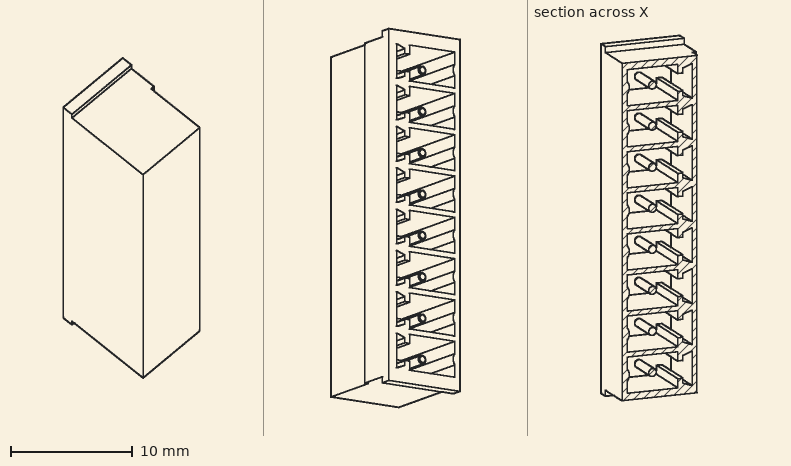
import cadquery as cq

depth = 9.2
width = 7.0
height = 29.8

flange_thickness = 1.0
flange_overhang = 0.5
step_depth = 3.6
step_height = 0.33

pocket_count = 8
pocket_row_span = 24.5
pocket_pitch = pocket_row_span / (pocket_count - 1)
rear_wall = 1.22
pocket_depth = depth - rear_wall

dovetail_outer_offset = 0.77
dovetail_inner_offset = 1.58
chamber_start_offset = 2.05
chamber_end_offset = 6.5
dovetail_outer_half = 1.45
dovetail_inner_half = 1.15
neck_half = 0.75
chamber_half = 1.52
key_half = 0.48
key_height = 0.18

pin_offset = 4.3
pin_diameter = 0.72
pin_recess = 1.5
pin_tip_chamfer = 0.1
pin_embed = rear_wall / 2

front_x = -depth / 2
side_y = width / 2


def make_housing():
    flange = cq.Workplane("XY").box(flange_thickness, width, height)
    flange = flange.translate((front_x + flange_thickness / 2, 0, 0))
    body_height = height - 2 * flange_overhang
    body = (
        cq.Workplane("XY")
        .workplane(offset=-body_height / 2)
        .moveTo(front_x, -side_y)
        .lineTo(depth / 2, -side_y)
        .lineTo(depth / 2, side_y - step_height)
        .lineTo(front_x + step_depth, side_y - step_height)
        .lineTo(front_x + step_depth, side_y)
        .lineTo(front_x, side_y)
        .close()
        .extrude(body_height)
    )
    return flange.union(body)


def make_pocket(z):
    """Dovetail, narrow neck and wide chamber, with a rounded key on the far chamber wall."""
    dovetail_outer = side_y - dovetail_outer_offset
    dovetail_inner = side_y - dovetail_inner_offset
    chamber_start = side_y - chamber_start_offset
    chamber_end = side_y - chamber_end_offset
    return (
        cq.Workplane("YZ", origin=(front_x, 0, z))
        .moveTo(dovetail_outer, dovetail_outer_half)
        .lineTo(dovetail_inner, dovetail_inner_half)
        .lineTo(dovetail_inner, neck_half)
        .lineTo(chamber_start, neck_half)
        .lineTo(chamber_start, chamber_half)
        .lineTo(chamber_end, chamber_half)
        .lineTo(chamber_end, key_half)
        .threePointArc((chamber_end + key_height, 0), (chamber_end, -key_half))
        .lineTo(chamber_end, -chamber_half)
        .lineTo(chamber_start, -chamber_half)
        .lineTo(chamber_start, -neck_half)
        .lineTo(dovetail_inner, -neck_half)
        .lineTo(dovetail_inner, -dovetail_inner_half)
        .lineTo(dovetail_outer, -dovetail_outer_half)
        .close()
        .extrude(pocket_depth)
    )


def make_pin(z):
    """Round pin rooted in the rear wall, ending at a recessed, chamfered tip."""
    tip_x = front_x + pin_recess
    pin_length = pocket_depth - pin_recess + pin_embed
    return (
        cq.Workplane("YZ", origin=(tip_x, side_y - pin_offset, z))
        .circle(pin_diameter / 2)
        .extrude(pin_length)
        .faces("<X")
        .chamfer(pin_tip_chamfer)
    )


result = make_housing()
for index in range(pocket_count):
    pocket_z = index * pocket_pitch - pocket_row_span / 2
    result = result.cut(make_pocket(pocket_z)).union(make_pin(pocket_z))